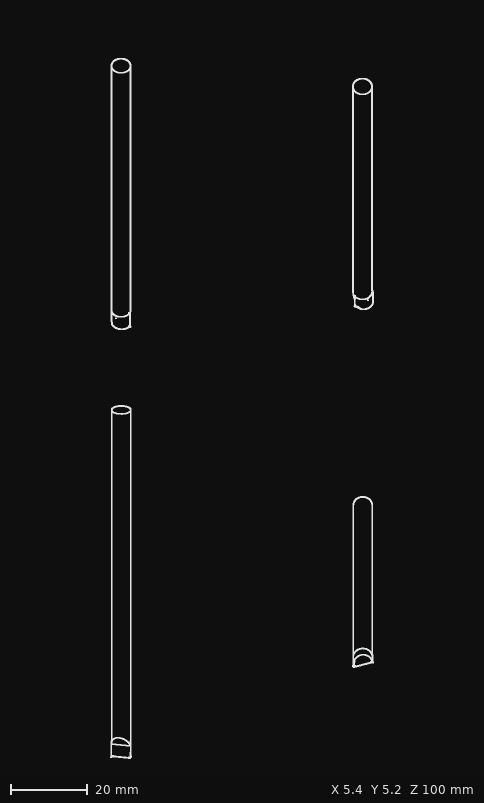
import cadquery as cq
import math

LENGTH = 100.0
SHANK_RADIUS = 2.5
RUNOUT_LOW_Z = 3.8
RUNOUT_HIGH_Z = 7.0
JOINT_Z = 5.1

LEFT_CENTER = (0.3, 0.1)
RIGHT_CENTER = (0.2, -0.2)
RIGHT_RADIUS = 2.5
SHOULDER_DROP = 1.1
SHOULDER_GROWTH = 0.3
EDGE_Z = 0.3
RELIEF_RISE = 0.3
LEFT_FACET_TOP_Z = 2.2
LEFT_FACET_FRONT_Y = -2.4
LEFT_FACET_BACK_DEPTH = 0.1
LEFT_FACET_FRONT_DEPTH = 1.4

CORNER_LEFT = (-2.6, 0.6)
CORNER_RIGHT = (2.8, 0.0)
CORNER_HEIGHT = 0.8
CORNER_WIDTH = 0.6
CORNER_THICKNESS = 0.3

RIDGE_Y = RIGHT_CENTER[1] - math.sqrt(RIGHT_RADIUS**2 - RIGHT_CENTER[0]**2)
LEFT_RADIUS = math.hypot(LEFT_CENTER[0], RIDGE_Y - LEFT_CENTER[1])


def make_shank():
    bar = cq.Workplane("XY").circle(SHANK_RADIUS).extrude(LENGTH)
    side_profile = (
        cq.Workplane("YZ")
        .moveTo(0, RUNOUT_LOW_Z)
        .lineTo(SHANK_RADIUS, RUNOUT_HIGH_Z)
        .lineTo(SHANK_RADIUS, LENGTH)
        .lineTo(-SHANK_RADIUS, LENGTH)
        .lineTo(-SHANK_RADIUS, JOINT_Z)
        .lineTo(0, JOINT_Z)
        .close()
        .extrude(SHANK_RADIUS, both=True)
    )
    return bar.intersect(side_profile)


def circle_point(center, radius, angle):
    return (center[0] + radius * math.cos(angle), center[1] + radius * math.sin(angle))


def make_blade():
    """Half-round prism whose two arcs meet in a ridge on X = 0."""
    left_x = LEFT_CENTER[0] - math.sqrt(LEFT_RADIUS**2 - LEFT_CENTER[1]**2)
    right_x = RIGHT_CENTER[0] + math.sqrt(RIGHT_RADIUS**2 - RIGHT_CENTER[1]**2)
    left_middle = circle_point(LEFT_CENTER, LEFT_RADIUS, math.radians(225))
    right_middle = circle_point(RIGHT_CENTER, RIGHT_RADIUS, math.radians(315))
    return (
        cq.Workplane("XY")
        .moveTo(left_x, 0)
        .threePointArc(left_middle, (0, RIDGE_Y))
        .threePointArc(right_middle, (right_x, 0))
        .close()
        .extrude(JOINT_Z)
    )


def make_shoulder_envelope():
    """Cylinder with a conical top that narrows to the shank at the joint."""
    outer_radius = SHANK_RADIUS + SHOULDER_GROWTH
    return (
        cq.Workplane("XZ")
        .moveTo(0, 0)
        .lineTo(outer_radius, 0)
        .lineTo(outer_radius, JOINT_Z - SHOULDER_DROP)
        .lineTo(SHANK_RADIUS, JOINT_Z)
        .lineTo(0, JOINT_Z)
        .close()
        .revolve(360, (0, 0, 0), (0, 1, 0))
    )


def make_end_relief():
    """Wedge under the end face, which rises away from the cutting edge."""
    front_y = RIGHT_CENTER[1] - RIGHT_RADIUS
    return (
        cq.Workplane("YZ")
        .moveTo(0, 0)
        .lineTo(0, EDGE_Z)
        .lineTo(front_y, EDGE_Z + RELIEF_RISE)
        .lineTo(front_y, 0)
        .close()
        .extrude(2 * SHANK_RADIUS, both=True)
    )


def make_left_facet():
    """Clearance cut on the lower left of the blade, deepening toward the front."""
    outer_x = -SHANK_RADIUS - SHOULDER_GROWTH

    def section(depth):
        return [
            (outer_x, 0),
            (outer_x, LEFT_FACET_TOP_Z),
            (-SHANK_RADIUS, LEFT_FACET_TOP_Z),
            (depth - SHANK_RADIUS, 0),
        ]

    return (
        cq.Workplane("XZ")
        .polyline(section(LEFT_FACET_BACK_DEPTH))
        .close()
        .workplane(offset=-LEFT_FACET_FRONT_Y)
        .polyline(section(LEFT_FACET_FRONT_DEPTH))
        .close()
        .loft(ruled=True)
    )


def make_corner(point, inward):
    """Thin triangular cutting point; inward is the X direction to the blade."""
    x, z = point
    return (
        cq.Workplane("XZ")
        .moveTo(x, z)
        .lineTo(x + inward * CORNER_WIDTH, EDGE_Z)
        .lineTo(x + inward * CORNER_WIDTH, z + CORNER_HEIGHT)
        .close()
        .extrude(CORNER_THICKNESS)
    )


def make_tip():
    tip = make_blade().intersect(make_shoulder_envelope())
    tip = tip.cut(make_left_facet()).cut(make_end_relief())
    tip = tip.union(make_corner(CORNER_LEFT, 1))
    return tip.union(make_corner(CORNER_RIGHT, -1))


shank = make_shank()
cutting_tip = make_tip()

result = cq.Compound.makeCompound([shank.solids().val(), cutting_tip.solids().val()])